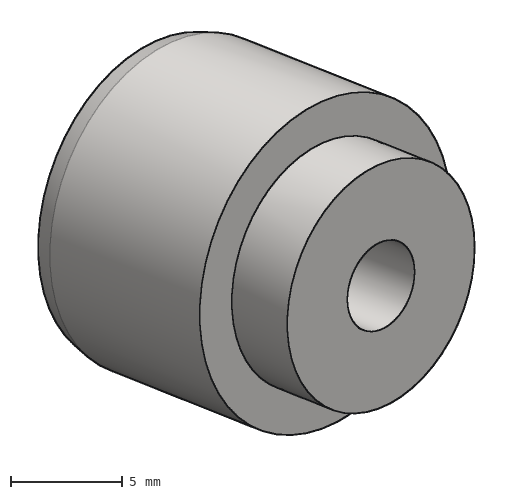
import cadquery as cq
import math

total_length = 14.0
body_diameter = 16.1
body_length = 10.5

spigot_diameter = 12.0
bore_diameter = 4.3

taper_length = 1.0
taper_angle = 15.0
taper_depth = taper_length * math.tan(math.radians(taper_angle))

body_radius = body_diameter / 2
spigot_radius = spigot_diameter / 2
bore_radius = bore_diameter / 2

half_section = (
    cq.Workplane("XY")
    .moveTo(0, bore_radius)
    .lineTo(0, body_radius - taper_depth)
    .lineTo(taper_length, body_radius)
    .lineTo(body_length, body_radius)
    .lineTo(body_length, spigot_radius)
    .lineTo(total_length, spigot_radius)
    .lineTo(total_length, bore_radius)
    .close()
)

result = half_section.revolve(360, (0, 0, 0), (1, 0, 0))